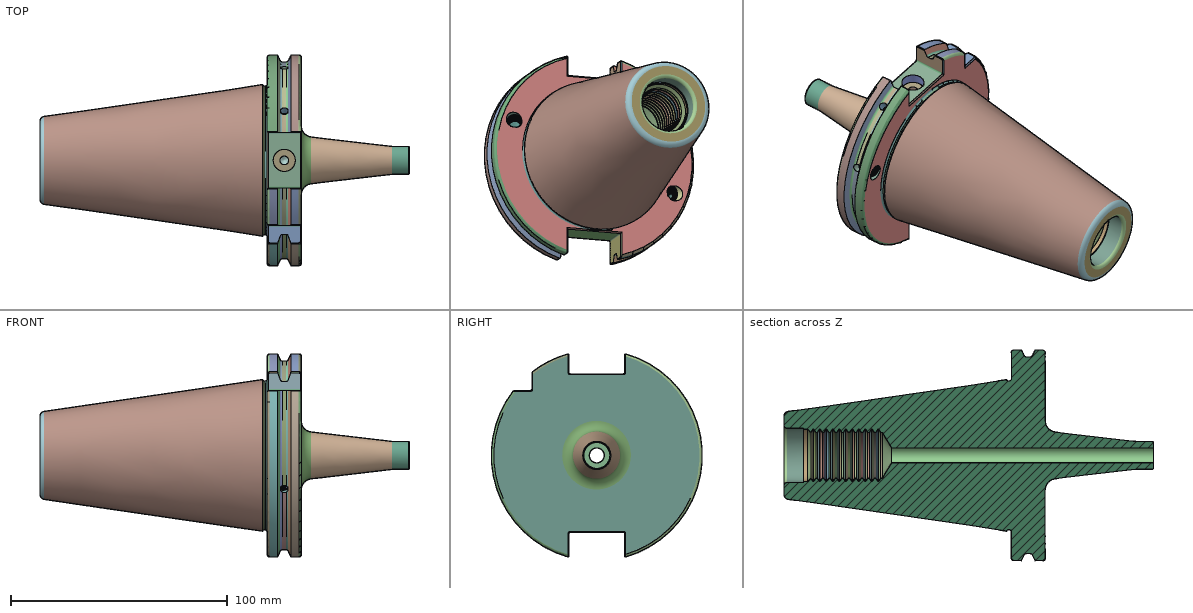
import cadquery as cq
import math


OVERCUT = 3.0
TOLERANCE = 0.05

GAUGE_RADIUS = 69.85 / 2
TAPER_LENGTH = 101.75
TAPER_SLOPE = 7 / 48
TAIL_FILLET = 2.5
TAPER_OVERRUN = 1.0
RELIEF_RADIUS = 34.4
RELIEF_FILLET = 0.8

FLANGE_RADIUS = 97.5 / 2
FLANGE_BACK = 3.2
FLANGE_FRONT = 19.05
FLANGE_EDGE_FILLET = 1.2

GROOVE_X = 11.1
GROOVE_HALF_WIDTH = 3.1
GROOVE_DEPTH = 3.3
GROOVE_WALL_ANGLE = 25
GROOVE_FILLET = 1.0
GROOVE_ROOT_RADIUS = FLANGE_RADIUS - GROOVE_DEPTH

NOSE_END = 69.0
NOSE_TIP_RADIUS = 6.5
NOSE_TIP_LENGTH = 8.0
NOSE_ROOT_RADIUS = 11.4
NOSE_FILLET = 5.0
NOSE_CHAMFER = 0.5

PILOT_RADIUS = 12.5
MOUTH_FILLET = 1.5
PILOT_DEPTH = 9.0
THREAD_LEAD_IN = 2.0
THREAD_MAJOR_RADIUS = 12.0
THREAD_MINOR_RADIUS = 10.5
THREAD_PITCH = 3.0
THREAD_TURNS = 11
THROUGH_RADIUS = 3.4
DRILL_POINT_ANGLE = 118

SLOT_WIDTH = 25.7
UPPER_SLOT_FLOOR = 37.7
LOWER_SLOT_FLOOR = 35.5
NOTCH_CORNER = 30.0
SLOT_CORNER_FILLET = 0.6
SLOT_EDGE_CHAMFER = 0.6
SLOT_RIM_CHAMFER = 0.4

POCKET_DIAMETER = 10.2
POCKET_DEPTH = 4.6
POCKET_PILOT_DIAMETER = 4.0
POCKET_PILOT_DEPTH = 4.0

COOLANT_ANGLE = 20
COOLANT_CENTRE_RADIUS = 41.8
COOLANT_DIAMETER = 7.0
COOLANT_TILT = 22
COOLANT_PLAIN_DEPTH = 2.5
COOLANT_THREAD_MINOR_DIAMETER = 6.2
COOLANT_THREAD_PITCH = 0.75
COOLANT_THREAD_TURNS = 10

RADIAL_HOLE_DIAMETER = 3.5
RADIAL_HOLE_DEPTH = 5.0
RADIAL_HOLE_ANGLES = (COOLANT_ANGLE, 60, COOLANT_ANGLE + 180)


def revolve_about_x(profile):
    return profile.close().revolve(360, (0, 0, 0), (1, 0, 0))


def drill_point_length(radius):
    return radius / math.tan(math.radians(DRILL_POINT_ANGLE / 2))


def ring_edges_at(x, radius):
    """Selector for circular edges around the X axis with the given place and radius."""
    return cq.selectors.BoxSelector(
        (x - TOLERANCE, -radius - TOLERANCE, -radius - TOLERANCE),
        (x + TOLERANCE, radius + TOLERANCE, radius + TOLERANCE),
        boundingbox=True,
    )


def make_shank():
    tail_radius = GAUGE_RADIUS - TAPER_LENGTH * TAPER_SLOPE
    crest_radius = GAUGE_RADIUS + TAPER_OVERRUN * TAPER_SLOPE
    relief_start = TAPER_OVERRUN + crest_radius - RELIEF_RADIUS
    shank = revolve_about_x(
        cq.Workplane("XZ")
        .moveTo(-TAPER_LENGTH, 0)
        .lineTo(-TAPER_LENGTH, tail_radius)
        .lineTo(TAPER_OVERRUN, crest_radius)
        .lineTo(relief_start, RELIEF_RADIUS)
        .lineTo(FLANGE_BACK - RELIEF_FILLET, RELIEF_RADIUS)
        .radiusArc((FLANGE_BACK, RELIEF_RADIUS + RELIEF_FILLET), -RELIEF_FILLET)
        .lineTo(FLANGE_BACK, 0)
    )
    return shank.faces("<X").edges().fillet(TAIL_FILLET)


def make_groove():
    floor_half_width = GROOVE_HALF_WIDTH - GROOVE_DEPTH * math.tan(math.radians(GROOVE_WALL_ANGLE))
    groove = revolve_about_x(
        cq.Workplane("XZ")
        .moveTo(GROOVE_X - GROOVE_HALF_WIDTH, FLANGE_RADIUS)
        .lineTo(GROOVE_X - floor_half_width, GROOVE_ROOT_RADIUS)
        .lineTo(GROOVE_X + floor_half_width, GROOVE_ROOT_RADIUS)
        .lineTo(GROOVE_X + GROOVE_HALF_WIDTH, FLANGE_RADIUS)
    )
    for side in (-1, 1):
        root_edge = ring_edges_at(GROOVE_X + side * floor_half_width, GROOVE_ROOT_RADIUS)
        groove = groove.edges(root_edge).fillet(GROOVE_FILLET)
    return groove


def make_slot(y_min, y_max, floor_z):
    """Cutter for a rim slot on the +Z side: filleted floor corners and a flared back face."""
    width = y_max - y_min
    height = FLANGE_RADIUS - floor_z + OVERCUT
    middle_y = (y_min + y_max) / 2
    slot = (
        cq.Workplane("XY", origin=(FLANGE_BACK, middle_y, floor_z))
        .box(FLANGE_FRONT - FLANGE_BACK, width, height, centered=(False, True, False))
        .edges("|X and <Z")
        .fillet(SLOT_CORNER_FILLET)
    )
    flare = (
        cq.Workplane("YZ", origin=(FLANGE_BACK, middle_y, floor_z + height / 2))
        .rect(width + 2 * SLOT_EDGE_CHAMFER, height + 2 * SLOT_EDGE_CHAMFER)
        .workplane(offset=SLOT_EDGE_CHAMFER)
        .rect(width, height)
        .loft(ruled=True)
    )
    return slot.union(flare)


class SlotRimEdges(cq.Selector):
    """Straight edges where the slot walls meet the outer rim."""

    def filter(self, edges):
        def on_rim(edge):
            centre = edge.Center()
            return edge.geomType() == "LINE" and math.hypot(centre.y, centre.z) > FLANGE_RADIUS - TOLERANCE

        return [edge for edge in edges if on_rim(edge)]


def make_flange():
    flange = (
        cq.Workplane("YZ", origin=(FLANGE_BACK, 0, 0))
        .circle(FLANGE_RADIUS)
        .extrude(FLANGE_FRONT - FLANGE_BACK)
        .edges("%CIRCLE")
        .fillet(FLANGE_EDGE_FILLET)
    )
    half = SLOT_WIDTH / 2
    flange = flange.cut(make_slot(-half, half, UPPER_SLOT_FLOOR))
    flange = flange.cut(make_slot(-half, half, LOWER_SLOT_FLOOR).mirror("XY"))
    flange = flange.cut(make_slot(-FLANGE_RADIUS - NOTCH_CORNER, -NOTCH_CORNER, NOTCH_CORNER))
    flange = flange.edges(SlotRimEdges()).chamfer(SLOT_RIM_CHAMFER)
    return flange.cut(make_groove())


def make_nose():
    cone_end = NOSE_END - NOSE_TIP_LENGTH
    cone_angle = math.atan2(NOSE_ROOT_RADIUS - NOSE_TIP_RADIUS, cone_end - FLANGE_FRONT)
    centre_x = FLANGE_FRONT + NOSE_FILLET
    cone_radius_there = NOSE_ROOT_RADIUS - NOSE_FILLET * math.tan(cone_angle)
    centre_r = cone_radius_there + NOSE_FILLET / math.cos(cone_angle)

    def on_fillet(angle):
        return (centre_x - NOSE_FILLET * math.cos(angle), centre_r - NOSE_FILLET * math.sin(angle))

    sweep = math.pi / 2 - cone_angle
    return revolve_about_x(
        cq.Workplane("XZ")
        .moveTo(FLANGE_BACK, 0)
        .lineTo(FLANGE_BACK, centre_r)
        .lineTo(*on_fillet(0))
        .threePointArc(on_fillet(sweep / 2), on_fillet(sweep))
        .lineTo(cone_end, NOSE_TIP_RADIUS)
        .lineTo(NOSE_END - NOSE_CHAMFER, NOSE_TIP_RADIUS)
        .lineTo(NOSE_END, NOSE_TIP_RADIUS - NOSE_CHAMFER)
        .lineTo(NOSE_END, 0)
    )


def add_thread_rings(profile, start, major_radius, minor_radius, pitch, turns):
    """Extend a bore profile along +X with V-shaped thread rings, starting at the minor radius."""
    root_flat = pitch / 8
    crest_flat = pitch / 4
    flank = (pitch - root_flat - crest_flat) / 2
    for turn in range(turns):
        x = start + turn * pitch
        profile = (
            profile.lineTo(x, minor_radius)
            .lineTo(x + flank, major_radius)
            .lineTo(x + flank + root_flat, major_radius)
            .lineTo(x + 2 * flank + root_flat, minor_radius)
        )
    return profile.lineTo(start + turns * pitch, minor_radius)


def make_bore():
    tail = -TAPER_LENGTH
    pilot_end = tail + PILOT_DEPTH
    chamfer_start = pilot_end + THREAD_LEAD_IN
    thread_start = chamfer_start + THREAD_MAJOR_RADIUS - THREAD_MINOR_RADIUS
    thread_end = thread_start + THREAD_TURNS * THREAD_PITCH
    cone_end = thread_end + drill_point_length(THREAD_MINOR_RADIUS) - drill_point_length(THROUGH_RADIUS)
    profile = (
        cq.Workplane("XZ")
        .moveTo(tail, 0)
        .lineTo(tail, PILOT_RADIUS + MOUTH_FILLET)
        .radiusArc((tail + MOUTH_FILLET, PILOT_RADIUS), -MOUTH_FILLET)
        .lineTo(pilot_end, PILOT_RADIUS)
        .lineTo(pilot_end, THREAD_MAJOR_RADIUS)
        .lineTo(chamfer_start, THREAD_MAJOR_RADIUS)
    )
    profile = add_thread_rings(
        profile, thread_start, THREAD_MAJOR_RADIUS, THREAD_MINOR_RADIUS, THREAD_PITCH, THREAD_TURNS
    )
    return revolve_about_x(
        profile.lineTo(cone_end, THROUGH_RADIUS)
        .lineTo(NOSE_END, THROUGH_RADIUS)
        .lineTo(NOSE_END, 0)
    )


def make_pocket():
    pilot_radius = POCKET_PILOT_DIAMETER / 2
    pilot_depth = POCKET_DEPTH + POCKET_PILOT_DEPTH
    return (
        cq.Workplane("XZ")
        .lineTo(POCKET_DIAMETER / 2, 0)
        .lineTo(POCKET_DIAMETER / 2, -POCKET_DEPTH)
        .lineTo(pilot_radius, -POCKET_DEPTH)
        .lineTo(pilot_radius, -pilot_depth)
        .lineTo(0, -pilot_depth - drill_point_length(pilot_radius))
        .close()
        .revolve(360, (0, 0, 0), (0, 1, 0))
        .translate((GROOVE_X, 0, UPPER_SLOT_FLOOR))
    )


def make_coolant_hole(angle):
    major_radius = COOLANT_DIAMETER / 2
    minor_radius = COOLANT_THREAD_MINOR_DIAMETER / 2
    thread_end = COOLANT_PLAIN_DEPTH + COOLANT_THREAD_TURNS * COOLANT_THREAD_PITCH
    profile = (
        cq.Workplane("XZ")
        .moveTo(-OVERCUT, 0)
        .lineTo(-OVERCUT, major_radius)
        .lineTo(COOLANT_PLAIN_DEPTH, major_radius)
    )
    profile = add_thread_rings(
        profile, COOLANT_PLAIN_DEPTH, major_radius, minor_radius, COOLANT_THREAD_PITCH, COOLANT_THREAD_TURNS
    )
    hole = revolve_about_x(profile.lineTo(thread_end + drill_point_length(minor_radius), 0))
    return (
        hole.rotate((0, 0, 0), (0, 0, 1), -COOLANT_TILT)
        .translate((FLANGE_BACK, COOLANT_CENTRE_RADIUS, 0))
        .rotate((0, 0, 0), (1, 0, 0), angle)
    )


def make_radial_hole(angle):
    start = cq.Vector(GROOVE_X, GROOVE_ROOT_RADIUS - RADIAL_HOLE_DEPTH, 0)
    length = RADIAL_HOLE_DEPTH + OVERCUT
    hole = cq.Solid.makeCylinder(RADIAL_HOLE_DIAMETER / 2, length, start, cq.Vector(0, 1, 0))
    return cq.Workplane(hole).rotate((0, 0, 0), (1, 0, 0), angle)


result = make_shank().union(make_flange()).union(make_nose())
result = result.cut(make_bore()).cut(make_pocket())
for hole_angle in (COOLANT_ANGLE, COOLANT_ANGLE + 180):
    result = result.cut(make_coolant_hole(hole_angle))
for hole_angle in RADIAL_HOLE_ANGLES:
    result = result.cut(make_radial_hole(hole_angle))